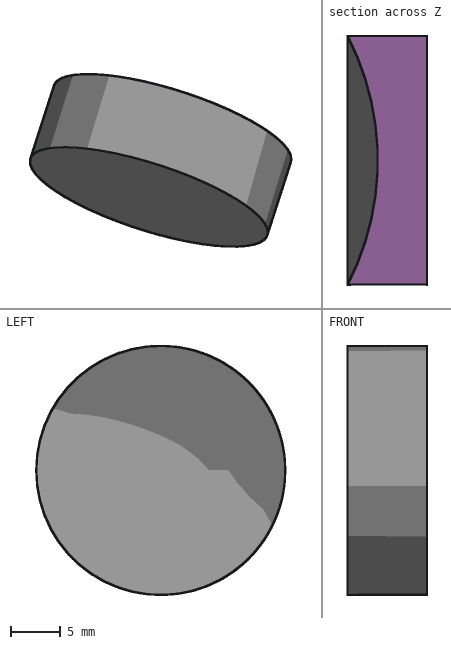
import cadquery as cq

diameter = 25.4
edge_thickness = 8.14
centre_thickness = 5.05

rim_radius = diameter / 2
concave_rim_x = -edge_thickness / 2

sag = edge_thickness - centre_thickness
surface_radius = (rim_radius**2 + sag**2) / (2 * sag)


def make_blank():
    """Solid disc centred on the origin."""
    rim_plane = cq.Workplane("YZ").workplane(offset=concave_rim_x)
    return rim_plane.circle(rim_radius).extrude(edge_thickness)


def make_concave_cutter():
    """Sphere that passes through the -X rim edge, with its poles along Y."""
    sphere_centre_x = concave_rim_x + sag - surface_radius
    sphere_plane = cq.Plane(origin=(sphere_centre_x, 0, 0), xDir=(1, 0, 0), normal=(0, -1, 0))
    return cq.Workplane(sphere_plane).sphere(surface_radius)


result = make_blank().cut(make_concave_cutter(), clean=False)